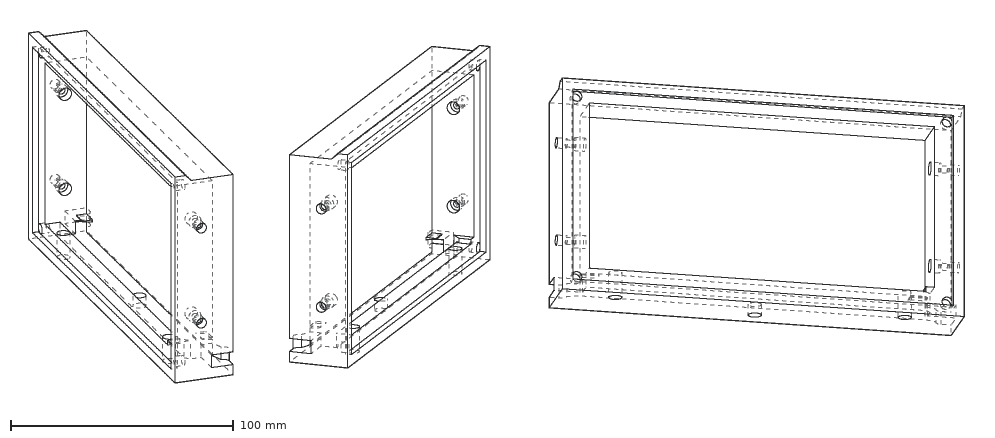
import cadquery as cq

width = 185.0
depth = 28.0
height = 100.0

flange_rise = 2.8
flange_depth = 5.0

recess_margin = 5.0
recess_depth = 3.0
corner_hole_diameter = 4.6
corner_hole_depth = 3.7
corner_hole_inset = recess_margin + corner_hole_diameter / 2

side_wall = 13.1
back_wall = 5.0
ceiling_drop = 10.0
floor_height = 5.0
lip_height = 11.7
lip_back = 10.2
cavity_back = depth - back_wall
cavity_width = width - 2 * side_wall
cavity_top = height - ceiling_drop

screw_outer_diameter = 4.6
screw_inner_diameter = 6.0
screw_core_diameter = 3.1
screw_bore_depth = 4.6
screw_y = 12.8
screw_heights = (27.2, 73.3)

drain_diameter = 6.0
lip_drain_inset = 26.0
lip_drain_y = 7.0
floor_drain_y = 18.1

cable_top = 11.1
cable_front = depth - 10.4
guide_start_x = 4.6
guide_radius = 3.0

ledge_top = 13.9
ledge_length = 7.8
ledge_depth = 4.8
ledge_root = 1.1
ledge_edge = 0.4

block_width = 3.9
block_short_side = 8.5


def box(x, y, z, x_end, y_end, z_end):
    """Box between two opposite corners."""
    return cq.Workplane("XY").box(x_end - x, y_end - y, z_end - z, centered=False).translate((x, y, z))


def mirrored(shape):
    """Copy of a shape on the other side of the middle of the width."""
    return shape.mirror("YZ", (width / 2, 0, 0))


def body():
    shoulder = height - flange_rise
    profile = [
        (0, 0),
        (depth, 0),
        (depth, shoulder),
        (flange_depth + flange_rise, shoulder),
        (flange_depth, height),
        (0, height),
    ]
    return cq.Workplane("YZ").polyline(profile).close().extrude(width)


def front_recess():
    return box(
        recess_margin, 0, recess_margin,
        width - recess_margin, recess_depth, height - recess_margin,
    )


def corner_holes():
    return (
        cq.Workplane("XZ", origin=(width / 2, recess_depth, height / 2))
        .rect(width - 2 * corner_hole_inset, height - 2 * corner_hole_inset, forConstruction=True)
        .vertices()
        .circle(corner_hole_diameter / 2)
        .extrude(-corner_hole_depth)
    )


def cavity():
    right = side_wall + cavity_width
    opening = box(side_wall, 0, lip_height, right, cavity_back, cavity_top)
    trough = box(side_wall, lip_back, floor_height, right, cavity_back, cavity_top)
    return opening.union(trough)


def screw_holes():
    """Narrow holes, widened where they meet the outer and inner wall faces."""
    points = [(screw_y, z) for z in screw_heights]

    def bores(x, diameter, length):
        plane = cq.Workplane("YZ", origin=(x, 0, 0))
        return plane.pushPoints(points).circle(diameter / 2).extrude(length)

    inner_start = side_wall - screw_bore_depth
    left = (
        bores(0, screw_core_diameter, side_wall)
        .union(bores(0, screw_outer_diameter, screw_bore_depth))
        .union(bores(inner_start, screw_inner_diameter, screw_bore_depth))
    )
    return left.union(mirrored(left))


def drain_holes():
    points = [
        (lip_drain_inset, lip_drain_y),
        (width / 2, floor_drain_y),
        (width - lip_drain_inset, lip_drain_y),
    ]
    return cq.Workplane("XY").pushPoints(points).circle(drain_diameter / 2).extrude(lip_height)


def cable_passages():
    """Passages whose rear wall starts as a hollow arc and then slants into the cavity."""
    arc_front = depth - guide_radius
    arc_middle = guide_radius * 0.5 ** 0.5
    left = (
        cq.Workplane("XY", origin=(0, 0, floor_height))
        .moveTo(0, cable_front)
        .lineTo(side_wall, cable_front)
        .lineTo(side_wall, cavity_back)
        .lineTo(guide_start_x + guide_radius, arc_front)
        .threePointArc(
            (guide_start_x + arc_middle, arc_front + arc_middle),
            (guide_start_x, depth),
        )
        .lineTo(0, depth)
        .close()
        .extrude(cable_top - floor_height)
    )
    return left.union(mirrored(left))


def cable_ledges():
    """Ledges on the back wall with an underside sloping up to a thin front edge."""
    profile = [
        (cavity_back, ledge_top),
        (cavity_back, ledge_top - ledge_root),
        (cavity_back - ledge_depth, ledge_top - ledge_edge),
        (cavity_back - ledge_depth, ledge_top),
    ]
    left = (
        cq.Workplane("YZ", origin=(side_wall, 0, 0))
        .polyline(profile)
        .close()
        .extrude(ledge_length)
    )
    return left.union(mirrored(left))


def lip_block():
    """Block on the right end of the lip, its rear face running at 45 degrees to the side wall."""
    right = width - side_wall
    outline = [
        (right - block_width, recess_depth),
        (right, recess_depth),
        (right, block_short_side + block_width),
        (right - block_width, block_short_side),
    ]
    return cq.Workplane("XY").polyline(outline).close().extrude(ledge_top)


result = (
    body()
    .cut(front_recess())
    .cut(corner_holes())
    .cut(cavity())
    .union(cable_ledges())
    .union(lip_block())
    .cut(screw_holes())
    .cut(drain_holes())
    .cut(cable_passages())
)